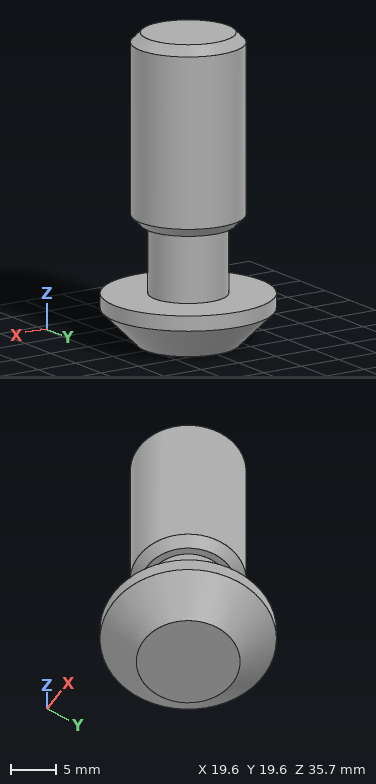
import cadquery as cq

total_height = 35.7
head_diameter = 19.55
head_cone_height = 4.05
head_rim_height = 1.75

neck_diameter = 9.0
neck_length = 7.93
shank_diameter = 12.85
shank_chamfer = 1.1

head_height = head_cone_height + head_rim_height
shank_base = head_height + neck_length
shank_length = total_height - shank_base


def make_head():
    """Flat rim on top of a 45 degree cone that narrows to the base."""
    disc = cq.Workplane("XY").circle(head_diameter / 2).extrude(head_height)
    return disc.faces("<Z").chamfer(head_cone_height)


def make_neck():
    """Plain cylinder joining the head to the shank."""
    return cq.Workplane("XY").workplane(offset=head_height).circle(neck_diameter / 2).extrude(neck_length)


def make_shank():
    """Cylinder chamfered equally at both ends."""
    shank = cq.Workplane("XY").workplane(offset=shank_base).circle(shank_diameter / 2).extrude(shank_length)
    return shank.faces("<Z or >Z").chamfer(shank_chamfer)


result = make_head().union(make_neck()).union(make_shank())